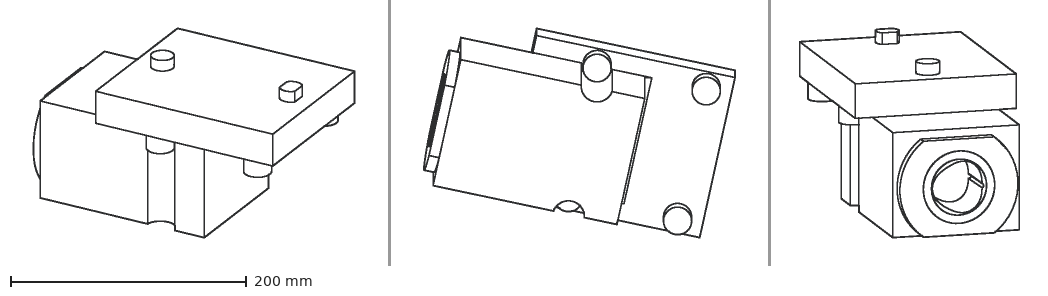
import cadquery as cq
import math

length = 244.0
plate_length = 172.3
plate_width = 142.0
plate_thickness = 30.0

body_start = 9.3
body_end = 168.8
body_width = 111.8
body_height = 91.3
gusset_size = 6.0

axis_height = 42.5
ring_height = 0.5
flange_diameter = 104.2
flange_flat_distance = 83.5
ring_outer_diameter = 63.0
ring_inner_diameter = 48.5
socket_mean_radius = 22.0
socket_lobe_height = 1.5
socket_depth = 39.0
socket_taper = 1 / 20
points_per_lobe = 8
wall_groove_diameter = 4.0
wall_groove_offset_y = -19.8

pad_diameter = 24.0
pad_height = 15.5
pad_offset_y = 57.5
front_pad_x = 127.1
rear_pad_x = 221.8
groove_diameter = 26.8

pin_diameter = 20.0
pin_height = 10.0
round_pin_x = 96.9
flat_pin_width = 15.1

plate_top = body_height + plate_thickness


def upright_cylinder(x, y, base, diameter, height):
    return cq.Workplane("XY", origin=(x, y, base)).circle(diameter / 2).extrude(height)


def axis_plane(x):
    """Plane across the socket axis; its normal is +X and its local x is +Y."""
    return cq.Workplane("YZ", origin=(x, 0, axis_height))


def make_body():
    body_length = body_end - body_start
    body = cq.Workplane("XY").box(body_length, body_width, body_height, centered=(False, True, False))
    body = body.translate((body_start, 0, 0))
    gusset = (
        cq.Workplane("XZ", origin=(body_end, body_width / 2, body_height))
        .polyline([(0, 0), (gusset_size, 0), (0, -gusset_size)])
        .close()
        .extrude(body_width)
    )
    body = body.union(gusset)
    for side in (-1, 1):
        body = body.cut(
            upright_cylinder(front_pad_x, side * pad_offset_y, 0, groove_diameter, body_height)
        )
    return body


def make_flange():
    thickness = body_start - ring_height
    disc = axis_plane(ring_height).circle(flange_diameter / 2).extrude(thickness)
    flats = axis_plane(ring_height).rect(flange_diameter, flange_flat_distance).extrude(thickness)
    ring = (
        axis_plane(0)
        .circle(ring_outer_diameter / 2)
        .circle(ring_inner_diameter / 2)
        .extrude(ring_height)
    )
    return disc.intersect(flats).union(ring)


def lobed_outline(mean_radius):
    """Points of a smooth three-lobed curve with one lobe toward +Y."""
    count = 3 * points_per_lobe
    points = []
    for index in range(count):
        angle = 2 * math.pi * index / count
        radius = mean_radius + socket_lobe_height * math.cos(3 * angle)
        points.append((radius * math.cos(angle), radius * math.sin(angle)))
    return points


def make_socket():
    end_radius = socket_mean_radius - socket_depth * socket_taper / 2
    return (
        axis_plane(ring_height)
        .spline(lobed_outline(socket_mean_radius), periodic=True)
        .close()
        .workplane(offset=socket_depth)
        .spline(lobed_outline(end_radius), periodic=True)
        .close()
        .loft(ruled=True)
    )


def make_wall_groove():
    """Small round groove along the -Y wall of the socket."""
    plane = axis_plane(ring_height).center(wall_groove_offset_y, 0)
    return plane.circle(wall_groove_diameter / 2).extrude(socket_depth)


def make_plate():
    plate = cq.Workplane("XY").box(plate_length, plate_width, plate_thickness, centered=(False, True, False))
    plate = plate.translate((length - plate_length, 0, body_height))
    for x in (front_pad_x, rear_pad_x):
        for side in (-1, 1):
            plate = plate.union(
                upright_cylinder(x, side * pad_offset_y, body_height - pad_height, pad_diameter, pad_height)
            )
    round_pin = upright_cylinder(round_pin_x, 0, plate_top, pin_diameter, pin_height)
    flats = cq.Workplane("XY", origin=(rear_pad_x, 0, plate_top)).rect(flat_pin_width, pin_diameter)
    flat_pin = upright_cylinder(rear_pad_x, 0, plate_top, pin_diameter, pin_height)
    flat_pin = flat_pin.intersect(flats.extrude(pin_height))
    return plate.union(round_pin).union(flat_pin)


holder = make_body().union(make_flange()).cut(make_socket()).cut(make_wall_groove())
result = holder.union(make_plate())